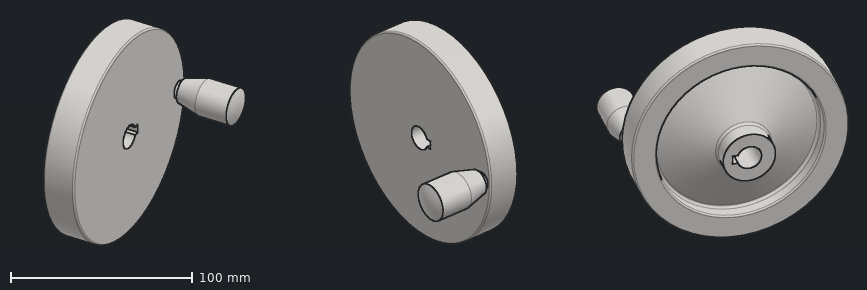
import cadquery as cq
import math

X_AXIS = ((0, 0, 0), (1, 0, 0))
FULL_TURN = 360

WHEEL_RADIUS = 125 / 2
RIM_FRONT = 17.3
RIM_BACK = 37.0
RIM_EDGE_FILLET = 1.0

RECESS_RADIUS = 96.31 / 2
RECESS_MOUTH_FILLET = 1.0
CONE_HALF_ANGLE = 64.5
CONE_RADIUS_AT_RIM_FRONT = 28.1
RECESS_BOTTOM_FILLET = 1.3

HUB_RADIUS = 30 / 2
HUB_FILLET = 2.0
BORE_RADIUS = 14 / 2
KEYWAY_WIDTH = 5.0
KEYWAY_REACH = 9.6

EDGE_TOLERANCE = 0.01

HANDLE_OFFSET = 55.32
NECK_RADIUS = 10.56 / 2
GRIP_START_RADIUS = 7.4
GRIP_RADIUS = 22 / 2
NECK_LENGTH = 2.7
TAPER_LENGTH = 13.6
HANDLE_END = 75.95
DOME_HEIGHT = 2.8


def make_wheel():
    """Rim, conical web and hub, revolved from a half section drawn in (x, radius)."""
    cone_slope = math.tan(math.radians(CONE_HALF_ANGLE))
    cone_start = RIM_FRONT - (CONE_RADIUS_AT_RIM_FRONT - HUB_RADIUS) / cone_slope
    recess_depth = (RECESS_RADIUS - CONE_RADIUS_AT_RIM_FRONT) / cone_slope
    recess_bottom = RIM_FRONT + recess_depth

    wheel = (
        cq.Workplane("XY")
        .moveTo(0, 0)
        .lineTo(0, HUB_RADIUS)
        .lineTo(cone_start, HUB_RADIUS)
        .lineTo(recess_bottom, RECESS_RADIUS)
        .lineTo(RIM_FRONT, RECESS_RADIUS)
        .lineTo(RIM_FRONT, WHEEL_RADIUS)
        .lineTo(RIM_BACK, WHEEL_RADIUS)
        .lineTo(RIM_BACK, 0)
        .close()
        .revolve(FULL_TURN, *X_AXIS)
    )
    wheel = fillet_circle(wheel, cone_start, HUB_RADIUS, HUB_FILLET)
    wheel = fillet_circle(wheel, recess_bottom, RECESS_RADIUS, RECESS_BOTTOM_FILLET)
    wheel = fillet_circle(wheel, RIM_FRONT, RECESS_RADIUS, RECESS_MOUTH_FILLET)
    wheel = fillet_circle(wheel, RIM_FRONT, WHEEL_RADIUS, RIM_EDGE_FILLET)
    return fillet_circle(wheel, RIM_BACK, WHEEL_RADIUS, RIM_EDGE_FILLET)


def fillet_circle(body, x, radius, fillet_radius):
    """Round the circular edge of the given radius that lies around the wheel axis at x."""
    low = (x - EDGE_TOLERANCE, -radius - EDGE_TOLERANCE, -radius - EDGE_TOLERANCE)
    high = (x + EDGE_TOLERANCE, radius + EDGE_TOLERANCE, radius + EDGE_TOLERANCE)
    ring = cq.selectors.BoxSelector(low, high, boundingbox=True)
    edges = body.edges(ring).edges(cq.selectors.RadiusNthSelector(-1))
    return edges.fillet(fillet_radius)


def make_bore():
    """Through bore with a keyway on the +Y side."""
    bore = cq.Workplane("YZ").circle(BORE_RADIUS).extrude(RIM_BACK)
    keyway = cq.Workplane("XY").box(RIM_BACK, KEYWAY_REACH, KEYWAY_WIDTH, centered=(False, False, True))
    return bore.union(keyway)


def make_handle():
    """Neck, tapered grip and domed end, revolved around the handle axis."""
    grip_start = RIM_BACK + NECK_LENGTH
    taper_end = grip_start + TAPER_LENGTH
    dome_start = HANDLE_END - DOME_HEIGHT
    dome_radius = (GRIP_RADIUS**2 + DOME_HEIGHT**2) / (2 * DOME_HEIGHT)
    half_angle = math.asin(GRIP_RADIUS / dome_radius) / 2
    dome_middle = (
        HANDLE_END - dome_radius * (1 - math.cos(half_angle)),
        dome_radius * math.sin(half_angle),
    )
    handle = (
        cq.Workplane("XZ")
        .moveTo(RIM_BACK, 0)
        .lineTo(RIM_BACK, NECK_RADIUS)
        .lineTo(grip_start, NECK_RADIUS)
        .lineTo(grip_start, GRIP_START_RADIUS)
        .lineTo(taper_end, GRIP_RADIUS)
        .lineTo(dome_start, GRIP_RADIUS)
        .threePointArc(dome_middle, (HANDLE_END, 0))
        .close()
        .revolve(FULL_TURN, *X_AXIS)
    )
    return handle.translate((0, HANDLE_OFFSET, 0))


result = make_wheel().cut(make_bore()).union(make_handle())